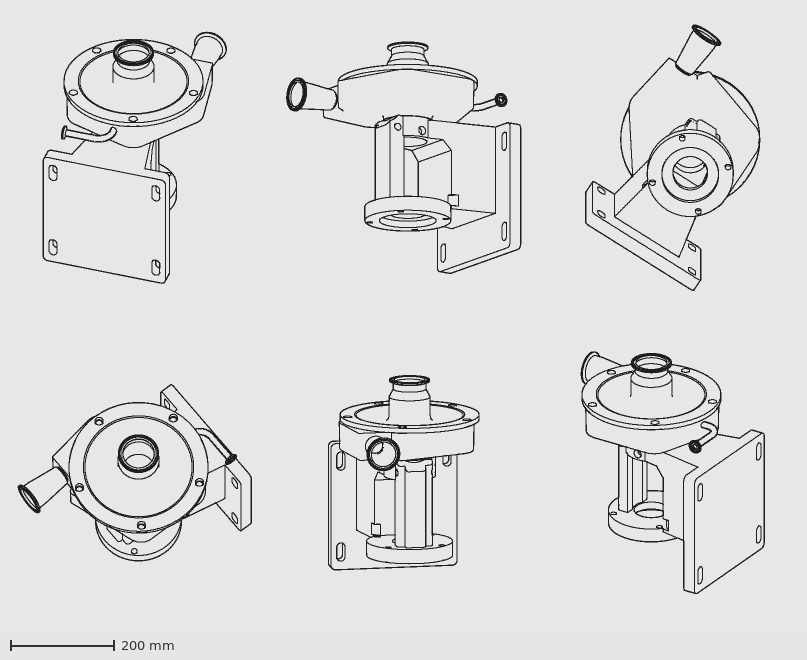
import math

import cadquery as cq


PLATE_SIZE = 250.0
PLATE_THICKNESS = 25.0
PLATE_FRONT_Y = -180.0
PLATE_BACK_Y = PLATE_FRONT_Y + PLATE_THICKNESS
PLATE_CORNER_RADIUS = 10.0
SLOT_LENGTH = 36.0
SLOT_WIDTH = 16.0
SLOT_SPACING_X = 210.0
SLOT_SPACING_Z = 180.0
SLOT_CENTER_Z = PLATE_SIZE / 2

RING_RADIUS = 50.0
RING_BORE_RADIUS = 37.0
RING_BOTTOM_Z = 213.7
RING_TOP_Z = 253.5
RING_PORT_RADIUS = 8.0
RING_PORT_Z = 226.0
COLUMN_HALF_WIDTH = 35.0
COLUMN_INNER_Y = 32.3
COLUMN_OUTER_Y = 55.5
COLUMN_CORNER_RADIUS = 6.0
COLUMN_HOLE_RADIUS = 6.8
COLUMN_HOLE_Y = 47.0
COLUMN_HOLE_Z = 230.0
COLUMN_CHAMFER = 19.0
RIB_HALF_WIDTH = 20.0
RIB_OUTER_Y = 65.0
RIB_CORNER_RADIUS = 4.8
MOTOR_FLANGE_RADIUS = 83.5
MOTOR_FLANGE_BOTTOM_Z = 56.0
MOTOR_FLANGE_TOP_Z = 84.0
MOTOR_BORE_RADIUS = 33.5
MOTOR_RECESS_RADIUS = 55.0
MOTOR_RECESS_DEPTH = 13.0
MOTOR_BOLT_CIRCLE_RADIUS = 75.0
MOTOR_BOLT_RADIUS = 5.5
MOTOR_BOLT_COUNT = 4
MOTOR_BOLT_START_ANGLE = 45.0

BRACKET_BOTTOM_Z = 77.3
BRACKET_TOP_Z = PLATE_SIZE
BRACKET_PLATE_HALF_WIDTH = 74.5
BRACKET_START_Y = -15.5
BRACKET_WINDOW_Y = -63.4
WINDOW_CHAMFER_Y = 17.6
WINDOW_CHAMFER_Z = 19.7
NOTCH_SIZE = 14.6
NOTCH_TOP_Z = 106.0

CASING_BOTTOM_Z = 270.3
CASING_TOP_Z = 325.0
CASING_APOTHEM = 115.3
CASING_SIDES = 5
CASING_DRAFT_ANGLE = 1.0
CASING_CORNER_RADIUS = 35.0
CASING_SHARP_CORNER_RADIUS = 6.0
CASING_BOTTOM_FILLET = 5.0
SHOULDER_TOP_Y = 115.4
SHOULDER_CORNER_X = 123.7
SHOULDER_CORNER_RADIUS = 2.0
OVERALL_RIGHT_X = 140.22
HUB_RADIUS = 47.2
HUB_FILLET = 9.0

COVER_RADIUS = 135.0
COVER_TOP_Z = 334.5
DISH_RIM_RADIUS = 107.0
DISH_EDGE_RADIUS = 104.0
DISH_EDGE_DROP = 1.2
DISH_CONE_RADIUS = 93.5
DISH_FLOOR_RADIUS = 83.0
DISH_FLOOR_DEPTH = 16.0
DISH_WALL_ANGLE = 45.0
INLET_FILLET = 13.6
COVER_BOLT_CIRCLE_RADIUS = 122.5
COVER_BOLT_RADIUS = 8.0
COVER_BOLT_DEPTH = 12.0
COVER_BOLT_DRILL_RADIUS = 6.5
COVER_BOLT_TIP_DEPTH = 3.0
INLET_BODY_RADIUS = 40.0
INLET_BODY_TOP_Z = 369.5
INLET_TUBE_RADIUS = 31.8
INLET_TUBE_START_Z = 385.0
INLET_BORE_RADIUS = 30.3
INLET_TOP_Z = 403.5
INLET_FERRULE_RADIUS = 39.0

OUTLET_X = 91.3
OUTLET_Z = 299.2
OUTLET_END_Y = 200.0
OUTLET_TUBE_RADIUS = 26.2
OUTLET_TUBE_START_Y = 180.8
OUTLET_CONE_START_Y = 118.6
OUTLET_CONE_RADIUS = 19.7
OUTLET_NECK_RADIUS = 16.8
OUTLET_WALL = 2.0
OUTLET_FERRULE_RADIUS = 32.2

PIPE_RADIUS = 6.5
PIPE_BORE_RADIUS = 5.0
PIPE_Z = 301.3
PIPE_STRAIGHT_Y = -158.2
PIPE_BEND_RADIUS = 28.5
PIPE_CASING_Y = -115.0
PIPE_END_X = -90.5
PIPE_FERRULE_RADIUS = 12.9

FERRULE_RIM = 2.8
FERRULE_TAPER = 2.8
GROOVE_RADIUS = 1.2
GROOVE_INSET = 3.4

OVERLAP = 2.0


def cylinder(radius, bottom, top):
    return cq.Workplane("XY").workplane(offset=bottom).circle(radius).extrude(top - bottom)


def revolve_about_z(profile):
    return profile.close().revolve(360, (0, 0, 0), (0, 1, 0))


def place_on_outlet_axis(body):
    """Turn a body built along +Z so that it points along +Y on the outlet axis."""
    turned = body.rotate((0, 0, 0), (1, 0, 0), -90)
    return turned.translate((OUTLET_X, 0, OUTLET_Z))


def ferrule(tube_radius, rim_radius, end):
    """Solid clamp ferrule along +Z, with a gasket groove in its end face."""
    rim_back = end - FERRULE_RIM
    taper_back = rim_back - FERRULE_TAPER
    profile = (
        cq.Workplane("XZ")
        .moveTo(0, taper_back)
        .lineTo(tube_radius, taper_back)
        .lineTo(rim_radius, rim_back)
        .lineTo(rim_radius, end)
        .lineTo(0, end)
    )
    groove = cq.Workplane("XY").add(
        cq.Solid.makeTorus(rim_radius - GROOVE_INSET, GROOVE_RADIUS, cq.Vector(0, 0, end))
    )
    return revolve_about_z(profile).cut(groove)


def make_plate():
    plate = (
        cq.Workplane("XY")
        .box(PLATE_SIZE, PLATE_THICKNESS, PLATE_SIZE, centered=(True, False, False))
        .translate((0, PLATE_FRONT_Y, 0))
        .edges("|Y")
        .fillet(PLATE_CORNER_RADIUS)
    )
    slots = (
        cq.Workplane("XZ", origin=(0, PLATE_BACK_Y, SLOT_CENTER_Z))
        .rarray(SLOT_SPACING_X, SLOT_SPACING_Z, 2, 2)
        .slot2D(SLOT_LENGTH, SLOT_WIDTH, 90)
        .extrude(PLATE_THICKNESS)
    )
    return plate.cut(slots)


def make_bracket():
    side = (
        cq.Workplane("YZ")
        .moveTo(PLATE_BACK_Y - OVERLAP, BRACKET_BOTTOM_Z)
        .lineTo(BRACKET_WINDOW_Y, BRACKET_BOTTOM_Z)
        .lineTo(BRACKET_WINDOW_Y, RING_BOTTOM_Z - WINDOW_CHAMFER_Z)
        .lineTo(BRACKET_WINDOW_Y + WINDOW_CHAMFER_Y, RING_BOTTOM_Z)
        .lineTo(BRACKET_START_Y, RING_BOTTOM_Z)
        .lineTo(BRACKET_START_Y, BRACKET_TOP_Z)
        .lineTo(PLATE_BACK_Y - OVERLAP, BRACKET_TOP_Z)
        .close()
        .extrude(BRACKET_PLATE_HALF_WIDTH, both=True)
    )
    start_half_width = math.sqrt(RING_RADIUS**2 - BRACKET_START_Y**2)
    taper = (BRACKET_PLATE_HALF_WIDTH - start_half_width) / (BRACKET_START_Y - PLATE_BACK_Y)
    plan = (
        cq.Workplane("XY")
        .moveTo(-start_half_width, BRACKET_START_Y)
        .lineTo(start_half_width, BRACKET_START_Y)
        .lineTo(BRACKET_PLATE_HALF_WIDTH, PLATE_BACK_Y)
        .lineTo(BRACKET_PLATE_HALF_WIDTH, PLATE_BACK_Y - OVERLAP)
        .lineTo(-BRACKET_PLATE_HALF_WIDTH, PLATE_BACK_Y - OVERLAP)
        .lineTo(-BRACKET_PLATE_HALF_WIDTH, PLATE_BACK_Y)
        .close()
        .extrude(BRACKET_TOP_Z)
    )
    bracket = side.intersect(plan)

    notch_back_y = BRACKET_WINDOW_Y - NOTCH_SIZE
    notch_outer_x = start_half_width + taper * (BRACKET_START_Y - notch_back_y)
    notch = (
        cq.Workplane("XY")
        .workplane(offset=MOTOR_FLANGE_TOP_Z)
        .moveTo(notch_outer_x, notch_back_y)
        .lineTo(notch_outer_x - NOTCH_SIZE, BRACKET_WINDOW_Y)
        .lineTo(notch_outer_x, BRACKET_WINDOW_Y)
        .close()
        .extrude(NOTCH_TOP_Z - MOTOR_FLANGE_TOP_Z)
    )
    return bracket.cut(notch).cut(notch.mirror("YZ"))


def make_column():
    height = RING_TOP_Z - MOTOR_FLANGE_TOP_Z
    base = cq.Workplane("XY").workplane(offset=MOTOR_FLANGE_TOP_Z)
    body = (
        base.center(0, (COLUMN_INNER_Y + COLUMN_OUTER_Y) / 2)
        .rect(2 * COLUMN_HALF_WIDTH, COLUMN_OUTER_Y - COLUMN_INNER_Y)
        .extrude(height)
        .edges("|Z and >Y")
        .fillet(COLUMN_CORNER_RADIUS)
    )
    rib = (
        base.center(0, (COLUMN_INNER_Y + RIB_OUTER_Y) / 2)
        .rect(2 * RIB_HALF_WIDTH, RIB_OUTER_Y - COLUMN_INNER_Y)
        .extrude(height)
        .edges("|Z and >Y")
        .fillet(RIB_CORNER_RADIUS)
    )
    top_chamfer = (
        cq.Workplane("YZ")
        .moveTo(RIB_OUTER_Y, RING_TOP_Z)
        .lineTo(RIB_OUTER_Y - COLUMN_CHAMFER, RING_TOP_Z)
        .lineTo(RIB_OUTER_Y, RING_TOP_Z - COLUMN_CHAMFER)
        .close()
        .extrude(COLUMN_HALF_WIDTH, both=True)
    )
    return body.union(rib).cut(top_chamfer)


def motor_flange_cuts():
    recess_top = MOTOR_FLANGE_BOTTOM_Z + MOTOR_RECESS_DEPTH
    bore = cylinder(MOTOR_BORE_RADIUS, MOTOR_FLANGE_BOTTOM_Z, MOTOR_FLANGE_TOP_Z)
    recess = cylinder(MOTOR_RECESS_RADIUS, MOTOR_FLANGE_BOTTOM_Z, recess_top)
    bolts = (
        cq.Workplane("XY")
        .workplane(offset=MOTOR_FLANGE_BOTTOM_Z)
        .polarArray(MOTOR_BOLT_CIRCLE_RADIUS, MOTOR_BOLT_START_ANGLE, 360, MOTOR_BOLT_COUNT)
        .circle(MOTOR_BOLT_RADIUS)
        .extrude(MOTOR_FLANGE_TOP_Z - MOTOR_FLANGE_BOTTOM_Z)
    )
    return bore.union(recess).union(bolts)


def make_lantern():
    ring = cylinder(RING_RADIUS, RING_BOTTOM_Z, RING_TOP_Z)
    bore = cylinder(RING_BORE_RADIUS, MOTOR_FLANGE_TOP_Z, RING_TOP_Z)
    port = (
        cq.Workplane("YZ")
        .center(0, RING_PORT_Z)
        .circle(RING_PORT_RADIUS)
        .extrude(-RING_RADIUS)
    )
    cross_hole = (
        cq.Workplane("YZ")
        .center(COLUMN_HOLE_Y, COLUMN_HOLE_Z)
        .circle(COLUMN_HOLE_RADIUS)
        .extrude(COLUMN_HALF_WIDTH, both=True)
    )
    flange = cylinder(MOTOR_FLANGE_RADIUS, MOTOR_FLANGE_BOTTOM_Z, MOTOR_FLANGE_TOP_Z)
    frame = ring.union(make_column()).union(make_bracket())
    frame = frame.cut(bore).cut(port).cut(cross_hole)
    return frame.union(flange).cut(motor_flange_cuts())


def pentagon_corner(index):
    """Sharp corner of the casing pentagon; corner 0 lies on +X."""
    radius = CASING_APOTHEM / math.cos(math.pi / CASING_SIDES)
    angle = 2 * math.pi * index / CASING_SIDES
    return (radius * math.cos(angle), radius * math.sin(angle))


def shoulder_foot():
    """Sharp corner where the outlet shoulder's side meets the lower right pentagon side.

    The shoulder's side is tangent to the corner arc that touches OVERALL_RIGHT_X.
    """
    half_turn = math.pi / CASING_SIDES
    side_normal_x = math.cos(half_turn)
    side_normal_y = -math.sin(half_turn)
    arc_x = OVERALL_RIGHT_X - CASING_CORNER_RADIUS
    arc_y = (CASING_APOTHEM - CASING_CORNER_RADIUS - arc_x * side_normal_x) / side_normal_y

    to_arc_x = arc_x - SHOULDER_CORNER_X
    to_arc_y = arc_y - SHOULDER_TOP_Y
    lean = math.acos(CASING_CORNER_RADIUS / math.hypot(to_arc_x, to_arc_y))
    normal_angle = math.atan2(to_arc_y, to_arc_x) + math.pi - lean
    normal_x = math.cos(normal_angle)
    normal_y = math.sin(normal_angle)
    offset = normal_x * SHOULDER_CORNER_X + normal_y * SHOULDER_TOP_Y

    determinant = normal_x * side_normal_y - normal_y * side_normal_x
    foot_x = (offset * side_normal_y - CASING_APOTHEM * normal_y) / determinant
    foot_y = (CASING_APOTHEM * normal_x - offset * side_normal_x) / determinant
    return (foot_x, foot_y)


def make_casing():
    half_turn = math.pi / CASING_SIDES
    shoulder_inner_x = (CASING_APOTHEM - SHOULDER_TOP_Y * math.sin(half_turn)) / math.cos(half_turn)

    sharp_corner = pentagon_corner(1)
    round_corners = [pentagon_corner(index) for index in (2, 3, 4)] + [shoulder_foot()]
    shoulder_corner = (SHOULDER_CORNER_X, SHOULDER_TOP_Y)
    shoulder_inner = (shoulder_inner_x, SHOULDER_TOP_Y)
    outline = [sharp_corner] + round_corners + [shoulder_corner, shoulder_inner]

    height = CASING_TOP_Z - CASING_BOTTOM_Z
    prism = (
        cq.Workplane("XY")
        .workplane(offset=CASING_BOTTOM_Z)
        .polyline(outline)
        .close()
        .extrude(height)
    )

    roundings = [(corner, CASING_CORNER_RADIUS) for corner in round_corners]
    roundings.append((sharp_corner, CASING_SHARP_CORNER_RADIUS))
    roundings.append((shoulder_corner, SHOULDER_CORNER_RADIUS))
    middle_z = (CASING_BOTTOM_Z + CASING_TOP_Z) / 2
    for (x, y), radius in roundings:
        nearest = cq.selectors.NearestToPointSelector((x, y, middle_z))
        prism = prism.edges("|Z").edges(nearest).fillet(radius)

    top_outline = prism.faces(">Z").wires()
    casing = top_outline.toPending().extrude(-height, combine=False, taper=CASING_DRAFT_ANGLE)
    return casing.faces("<Z").edges().fillet(CASING_BOTTOM_FILLET)


def make_hub():
    profile = (
        cq.Workplane("XZ")
        .moveTo(0, RING_TOP_Z)
        .lineTo(HUB_RADIUS, RING_TOP_Z)
        .lineTo(HUB_RADIUS, CASING_BOTTOM_Z - HUB_FILLET)
        .radiusArc((HUB_RADIUS + HUB_FILLET, CASING_BOTTOM_Z), HUB_FILLET)
        .lineTo(HUB_RADIUS + HUB_FILLET, CASING_BOTTOM_Z + OVERLAP)
        .lineTo(0, CASING_BOTTOM_Z + OVERLAP)
    )
    return revolve_about_z(profile)


def cover_bolt_holes():
    step_z = COVER_TOP_Z - COVER_BOLT_DEPTH
    profile = (
        cq.Workplane("XZ")
        .moveTo(0, COVER_TOP_Z)
        .lineTo(COVER_BOLT_RADIUS, COVER_TOP_Z)
        .lineTo(COVER_BOLT_RADIUS, step_z)
        .lineTo(COVER_BOLT_DRILL_RADIUS, step_z)
        .lineTo(0, step_z - COVER_BOLT_TIP_DEPTH)
    )
    hole = revolve_about_z(profile).translate((COVER_BOLT_CIRCLE_RADIUS, 0, 0))
    holes = hole
    for index in range(1, CASING_SIDES):
        holes = holes.union(hole.rotate((0, 0, 0), (0, 0, 1), 360 * index / CASING_SIDES))
    return holes


def cover_dish():
    floor_z = COVER_TOP_Z - DISH_FLOOR_DEPTH
    wall_angle = math.radians(DISH_WALL_ANGLE)
    roll_radius = (DISH_CONE_RADIUS - DISH_FLOOR_RADIUS) / math.sin(wall_angle)
    roll_rise = roll_radius * (1 - math.cos(wall_angle))
    dish = (
        cq.Workplane("XZ")
        .moveTo(0, COVER_TOP_Z)
        .lineTo(DISH_RIM_RADIUS, COVER_TOP_Z)
        .lineTo(DISH_EDGE_RADIUS, COVER_TOP_Z - DISH_EDGE_DROP)
        .lineTo(DISH_CONE_RADIUS, floor_z + roll_rise)
        .radiusArc((DISH_FLOOR_RADIUS, floor_z), roll_radius)
        .lineTo(0, floor_z)
    )
    return revolve_about_z(dish)


def make_inlet():
    floor_z = COVER_TOP_Z - DISH_FLOOR_DEPTH
    profile = (
        cq.Workplane("XZ")
        .moveTo(0, floor_z - OVERLAP)
        .lineTo(INLET_BODY_RADIUS + INLET_FILLET, floor_z - OVERLAP)
        .lineTo(INLET_BODY_RADIUS + INLET_FILLET, floor_z)
        .radiusArc((INLET_BODY_RADIUS, floor_z + INLET_FILLET), INLET_FILLET)
        .lineTo(INLET_BODY_RADIUS, INLET_BODY_TOP_Z)
        .lineTo(INLET_TUBE_RADIUS, INLET_TUBE_START_Z)
        .lineTo(INLET_TUBE_RADIUS, INLET_TOP_Z)
        .lineTo(0, INLET_TOP_Z)
    )
    end = ferrule(INLET_TUBE_RADIUS, INLET_FERRULE_RADIUS, INLET_TOP_Z)
    return revolve_about_z(profile).union(end)


def make_outlet():
    profile = (
        cq.Workplane("XZ")
        .moveTo(0, SHOULDER_TOP_Y - OVERLAP)
        .lineTo(OUTLET_NECK_RADIUS, SHOULDER_TOP_Y - OVERLAP)
        .lineTo(OUTLET_NECK_RADIUS, OUTLET_CONE_START_Y)
        .lineTo(OUTLET_CONE_RADIUS, OUTLET_CONE_START_Y)
        .lineTo(OUTLET_TUBE_RADIUS, OUTLET_TUBE_START_Y)
        .lineTo(OUTLET_TUBE_RADIUS, OUTLET_END_Y - FERRULE_RIM)
        .lineTo(0, OUTLET_END_Y - FERRULE_RIM)
    )
    neck_bore = OUTLET_NECK_RADIUS - OUTLET_WALL
    tube_bore = OUTLET_TUBE_RADIUS - OUTLET_WALL
    bore = (
        cq.Workplane("XZ")
        .moveTo(0, SHOULDER_TOP_Y)
        .lineTo(neck_bore, SHOULDER_TOP_Y)
        .lineTo(neck_bore, OUTLET_CONE_START_Y)
        .lineTo(tube_bore, OUTLET_TUBE_START_Y)
        .lineTo(tube_bore, OUTLET_END_Y)
        .lineTo(0, OUTLET_END_Y)
    )
    end = ferrule(OUTLET_TUBE_RADIUS, OUTLET_FERRULE_RADIUS, OUTLET_END_Y)
    nozzle = revolve_about_z(profile).union(end).cut(revolve_about_z(bore))
    return place_on_outlet_axis(nozzle)


def pipe_rod(radius):
    """Solid rod along the flush pipe's centre line."""
    diagonal = PIPE_BEND_RADIUS * math.sin(math.pi / 4)
    bend_middle = (diagonal - PIPE_BEND_RADIUS, PIPE_STRAIGHT_Y + PIPE_BEND_RADIUS - diagonal)
    path = (
        cq.Workplane("XY", origin=(0, 0, PIPE_Z))
        .moveTo(PIPE_END_X, PIPE_STRAIGHT_Y)
        .lineTo(-PIPE_BEND_RADIUS, PIPE_STRAIGHT_Y)
        .threePointArc(bend_middle, (0, PIPE_STRAIGHT_Y + PIPE_BEND_RADIUS))
        .lineTo(0, PIPE_CASING_Y)
    )
    start = cq.Workplane("YZ", origin=(PIPE_END_X, PIPE_STRAIGHT_Y, PIPE_Z))
    return start.circle(radius).sweep(path)


def pipe_ferrule():
    end = ferrule(PIPE_RADIUS, PIPE_FERRULE_RADIUS, -PIPE_END_X)
    return end.rotate((0, 0, 0), (0, 1, 0), -90).translate((0, PIPE_STRAIGHT_Y, PIPE_Z))


def make_pump():
    cover = cylinder(COVER_RADIUS, CASING_TOP_Z, COVER_TOP_Z)
    inlet_bore = cylinder(INLET_BORE_RADIUS, CASING_TOP_Z, INLET_TOP_Z)
    pump = make_casing().union(make_hub()).union(cover)
    pump = pump.cut(cover_dish()).union(make_inlet())
    pump = pump.cut(cover_bolt_holes()).cut(inlet_bore)
    pump = pump.union(make_outlet())
    pump = pump.union(pipe_rod(PIPE_RADIUS)).union(pipe_ferrule())
    return pump.cut(pipe_rod(PIPE_BORE_RADIUS))


result = make_pump().union(make_lantern()).union(make_plate())